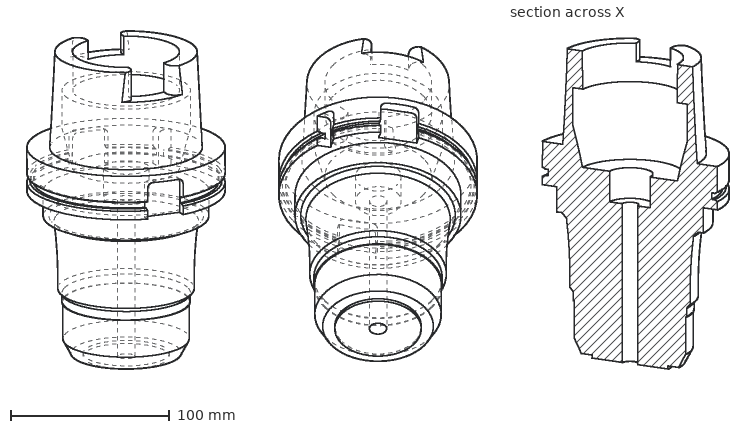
import cadquery as cq

total_height = 200.5

taper_length = 63.0
taper_top_radius = 44.9
taper_base_radius = 48.0
flange_top = total_height - taper_length

flange_radius = 62.5
flange_bottom = 108.8
groove_radius = 58.5
groove_top = 120.5
groove_bottom = 114.5
groove_chamfer_radius = 60.5
groove_chamfer_height = 1.0

collar_radius = 52.3
collar_bottom = 92.4
neck_start_radius = 48.7
neck_top_radius = 45.5
neck_top = 89.4
neck_mid_radius = 43.9
neck_mid = 74.1
neck_radius = 43.0
neck_bottom = 57.1
shoulder_top = 44.5
shoulder_bottom = 41.7
ring_radius = 40.5
ring_bottom = 35.9
nose_radius = 39.9
nose_cone_top = 11.5
nose_tip_radius = 34.9
nose_cone_bottom = 2.0
foot_radius = 27.3

bore_radius = 33.7
bore_depth = 25.3
undercut_radius = 40.5
undercut_depth = 50.0
cavity_depth = 76.2
recess_radius = 14.5
recess_depth = 20.0
through_radius = 5.5

notch_half_width = 12.2
notch_round = 6.0
notch_flare_x = 40.9
left_notch_depth = 12.2
right_notch_depth = 19.2

slot_width = 24.5
slot_floor = 56.0
slot_top = 132.7
slot_corner_radius = 3.6
slot_height = slot_top - flange_bottom
corner_cut_offset = 39.7


def make_body():
    return (
        cq.Workplane("XZ")
        .moveTo(0, 0)
        .lineTo(foot_radius, 0)
        .lineTo(foot_radius, nose_cone_bottom)
        .lineTo(nose_tip_radius, nose_cone_bottom)
        .lineTo(nose_radius, nose_cone_top)
        .lineTo(nose_radius, ring_bottom)
        .lineTo(ring_radius, ring_bottom)
        .lineTo(ring_radius, shoulder_bottom)
        .lineTo(neck_radius, shoulder_top)
        .lineTo(neck_radius, neck_bottom)
        .threePointArc((neck_mid_radius, neck_mid), (neck_top_radius, neck_top))
        .lineTo(neck_start_radius, collar_bottom)
        .lineTo(collar_radius, collar_bottom)
        .lineTo(collar_radius, flange_bottom)
        .lineTo(flange_radius, flange_bottom)
        .lineTo(flange_radius, groove_bottom)
        .lineTo(groove_chamfer_radius, groove_bottom + groove_chamfer_height)
        .lineTo(groove_radius, groove_bottom + groove_chamfer_height)
        .lineTo(groove_radius, groove_top - groove_chamfer_height)
        .lineTo(groove_chamfer_radius, groove_top - groove_chamfer_height)
        .lineTo(flange_radius, groove_top)
        .lineTo(flange_radius, flange_top)
        .lineTo(taper_base_radius, flange_top)
        .lineTo(taper_top_radius, total_height)
        .lineTo(0, total_height)
        .close()
        .revolve(360, (0, 0, 0), (0, 1, 0))
    )


def make_cavity():
    """Undercut bore narrowing to a floor with a recess and a through hole."""
    undercut_top = total_height - bore_depth
    undercut_bottom = total_height - undercut_depth
    cavity_floor = total_height - cavity_depth
    recess_floor = cavity_floor - recess_depth
    return (
        cq.Workplane("XZ")
        .moveTo(0, 0)
        .lineTo(through_radius, 0)
        .lineTo(through_radius, recess_floor)
        .lineTo(recess_radius, recess_floor)
        .lineTo(recess_radius, cavity_floor)
        .lineTo(bore_radius, cavity_floor)
        .lineTo(undercut_radius, undercut_bottom)
        .lineTo(undercut_radius, undercut_top)
        .lineTo(bore_radius, undercut_top)
        .lineTo(bore_radius, total_height)
        .lineTo(0, total_height)
        .close()
        .revolve(360, (0, 0, 0), (0, 1, 0))
    )


def make_notch(depth):
    """Drive notch on the +X side whose walls round outward into the taper."""
    flare_half_width = notch_half_width + notch_round
    round_start_x = notch_flare_x - notch_round
    flare_center = (round_start_x, flare_half_width)
    diagonal = notch_round * 0.5**0.5
    arc_x = flare_center[0] + diagonal
    arc_y = flare_center[1] - diagonal
    outer_x = flange_radius
    outer_y = flare_half_width + notch_round
    return (
        cq.Workplane("XY", origin=(0, 0, total_height - depth))
        .moveTo(0, -notch_half_width)
        .lineTo(round_start_x, -notch_half_width)
        .threePointArc((arc_x, -arc_y), (notch_flare_x, -flare_half_width))
        .lineTo(notch_flare_x, -outer_y)
        .lineTo(outer_x, -outer_y)
        .lineTo(outer_x, outer_y)
        .lineTo(notch_flare_x, outer_y)
        .lineTo(notch_flare_x, flare_half_width)
        .threePointArc((arc_x, arc_y), (round_start_x, notch_half_width))
        .lineTo(0, notch_half_width)
        .close()
        .extrude(depth)
    )


def make_key_slot():
    """Key slot on the +X side with two rounded upper corners."""
    return (
        cq.Workplane("XY", origin=(slot_floor, 0, flange_bottom))
        .box(flange_radius, slot_width, slot_height, centered=(False, True, False))
        .edges("|X and >Z")
        .fillet(slot_corner_radius)
    )


def make_corner_cut():
    """Open cut at the (-X, +Y) edge of the flange."""
    return (
        cq.Workplane("XY", origin=(-corner_cut_offset - flange_radius, corner_cut_offset, flange_bottom))
        .box(flange_radius, flange_radius, slot_height, centered=False)
        .edges("|X and >Z and <Y")
        .fillet(slot_corner_radius)
    )


def turned_to_left(shape):
    return shape.rotate((0, 0, 0), (0, 0, 1), 180)


result = (
    make_body()
    .cut(make_cavity())
    .cut(make_notch(right_notch_depth))
    .cut(turned_to_left(make_notch(left_notch_depth)))
    .cut(make_key_slot())
    .cut(turned_to_left(make_key_slot()))
    .cut(make_corner_cut())
)